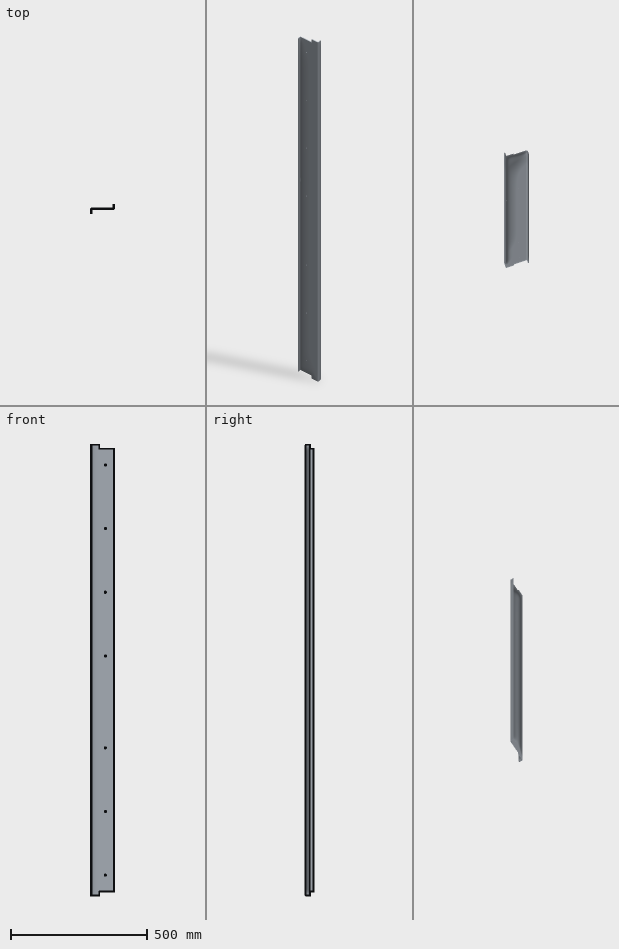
import cadquery as cq

width = 85.0
depth = 30.0
length = 1658.0

thickness = 3.0
bend_inner_radius = 2.0
bend_outer_radius = bend_inner_radius + thickness

web_front = 0.0
web_back = web_front + thickness

tab_width = 31.0
notch_height = 15.0

front_flange_corner_radius = 5.0
tab_corner_radius = 2.5

hole_diameter = 4.0
hole_x = 53.0
hole_pitch = 234.0
lower_group_start = 75.0
lower_group_count = 3
upper_group_count = 4
upper_group_start = length - lower_group_start - (upper_group_count - 1) * hole_pitch


def z_section():
    """Square-cornered Z profile extruded along the rail, with its bends rounded."""
    front = -depth / 2
    back = depth / 2
    rail = (
        cq.Workplane("XY")
        .moveTo(0, front)
        .lineTo(thickness, front)
        .lineTo(thickness, web_front)
        .lineTo(width, web_front)
        .lineTo(width, back)
        .lineTo(width - thickness, back)
        .lineTo(width - thickness, web_back)
        .lineTo(0, web_back)
        .close()
        .extrude(length)
    )
    mid_height = length / 2
    outer_corners = [(0, web_back), (width, web_front)]
    inner_corners = [(thickness, web_front), (width - thickness, web_back)]
    for corners, radius in ((outer_corners, bend_outer_radius), (inner_corners, bend_inner_radius)):
        for x, y in corners:
            edge = cq.selectors.NearestToPointSelector((x, y, mid_height))
            rail = rail.edges("|Z").edges(edge).fillet(radius)
    return rail


def end_notches():
    """Blocks that shorten the web and back flange at both ends, beside the tabs."""
    block = cq.Workplane("XY").box(width - tab_width, depth, notch_height, centered=(False, True, False))
    lower = block.translate((tab_width, 0, 0))
    upper = block.translate((tab_width, 0, length - notch_height))
    return lower.union(upper)


def round_sheet_corners(rail):
    """Round the free corners of the front flange and the outer corner of each tab."""
    rail = rail.faces("<Y").edges("|X").fillet(front_flange_corner_radius)
    for end in (0, length):
        tab_corner = cq.selectors.NearestToPointSelector((tab_width, web_front, end))
        rail = rail.edges("|Y").edges(tab_corner).fillet(tab_corner_radius)
    return rail


def web_holes():
    """Round cutters for every hole along the web."""
    heights = []
    for start, count in ((lower_group_start, lower_group_count), (upper_group_start, upper_group_count)):
        for index in range(count):
            heights.append(start + index * hole_pitch)
    points = [(hole_x, height) for height in heights]
    return cq.Workplane("XZ").pushPoints(points).circle(hole_diameter / 2).extrude(depth / 2, both=True)


rail = z_section().cut(end_notches())
result = round_sheet_corners(rail).cut(web_holes())